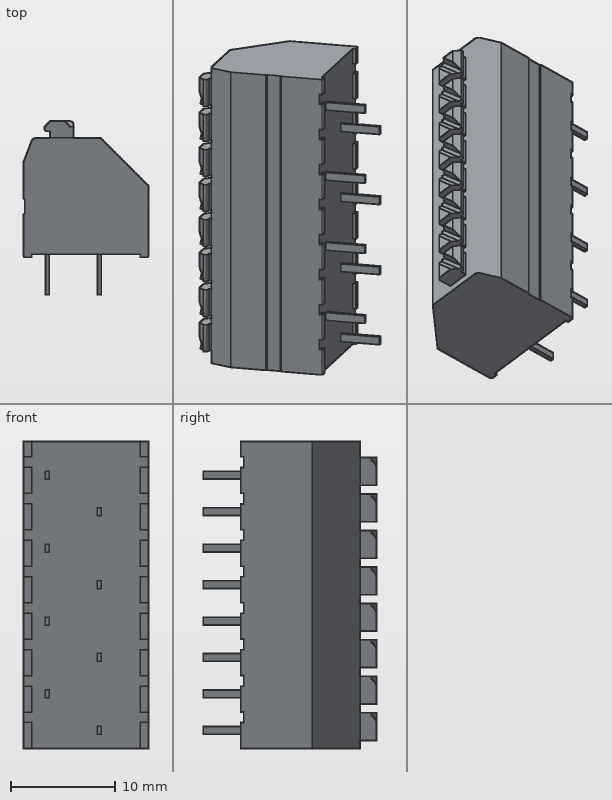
import cadquery as cq
import math

LENGTH = 29.5
WIDTH = 12.0
TOP_Y = 11.48
FLOOR_Y = 0.3
BACK_CHAMFER = 4.6
FRONT_SLOPE_RUN = 0.88
FRONT_SLOPE_DROP = 2.3
FRONT_SLOPE_RADIUS = 0.5
GROOVE_DEPTH = 0.1
GROOVE_TOP_Y = TOP_Y - 5.8
GROOVE_BOTTOM_Y = TOP_Y - 7.35

POLES = 8
END_MODULE = 1.5
PITCH = (LENGTH - END_MODULE) / POLES

FOOT_LENGTH = 2.5
FOOT_WIDTH = 0.8
FOOT_RADIUS = 0.2

PIN_TIP_Y = -3.6
PIN_WIDTH = 0.38
PIN_HEIGHT = 0.77
PIN_ROW_FRONT_X = 2.3
PIN_ROW_SPACING = 5.0
PIN_ROOT_DEPTH = 0.3
PIN_CENTER_Z = PITCH / 2

LEVER_TOP_Y = 13.1
LEVER_FRONT_X = 2.0
LEVER_BACK_X = 4.8
LEVER_NECK_X = 2.55
LEVER_BASE_Z = 0.77
LEVER_HEIGHT = 2.68
LEVER_ROOT_DEPTH = 0.3
HOOK_CHAMFER = 0.55
HOOK_UNDERSIDE_Y = LEVER_TOP_Y - 1.0
HOOK_RADIUS = 0.3
LEVER_BACK_RADIUS = 0.35

SLOT_DEPTH = 0.55
SLOT_FLOOR_WIDTH = 0.38
SLOT_MOUTH_WIDTH = 1.12
SLOT_ANGLE = 45.0


def make_housing():
    outline = [
        (0, FLOOR_Y),
        (WIDTH, FLOOR_Y),
        (WIDTH, TOP_Y - BACK_CHAMFER),
        (WIDTH - BACK_CHAMFER, TOP_Y),
        (FRONT_SLOPE_RUN, TOP_Y),
        (0, TOP_Y - FRONT_SLOPE_DROP),
        (0, GROOVE_TOP_Y),
        (GROOVE_DEPTH, GROOVE_TOP_Y - GROOVE_DEPTH),
        (GROOVE_DEPTH, GROOVE_BOTTOM_Y + GROOVE_DEPTH),
        (0, GROOVE_BOTTOM_Y),
    ]
    housing = cq.Workplane("XY").polyline(outline).close().extrude(LENGTH)
    slope_edge = cq.selectors.NearestToPointSelector((FRONT_SLOPE_RUN, TOP_Y, LENGTH / 2))
    return housing.edges(slope_edge).fillet(FRONT_SLOPE_RADIUS)


def make_foot(x_start, outer_side, base_z, length):
    """Foot with its outer bottom edge rounded; outer_side is '<X' or '>X'."""
    foot = cq.Workplane("XY").box(FOOT_WIDTH, FLOOR_Y, length, centered=False)
    foot = foot.faces(outer_side).edges("<Y").fillet(FOOT_RADIUS)
    return foot.translate((x_start, 0, base_z))


def make_pin(center_x, center_z):
    height = FLOOR_Y + PIN_ROOT_DEPTH - PIN_TIP_Y
    pin = cq.Workplane("XY").box(PIN_WIDTH, height, PIN_HEIGHT)
    return pin.translate((center_x, PIN_TIP_Y + height / 2, center_z))


def make_slot_cutter():
    """Tapered slot centred on the lever, with its mouth at the lever top."""
    reach = LEVER_BACK_X - LEVER_FRONT_X + LEVER_HEIGHT
    section = [
        (-SLOT_FLOOR_WIDTH / 2, -SLOT_DEPTH),
        (SLOT_FLOOR_WIDTH / 2, -SLOT_DEPTH),
        (SLOT_MOUTH_WIDTH / 2, 0),
        (-SLOT_MOUTH_WIDTH / 2, 0),
    ]
    cutter = cq.Workplane("XY").polyline(section).close().extrude(reach, both=True)
    cutter = cutter.rotate((0, 0, 0), (0, 1, 0), SLOT_ANGLE)
    center_x = (LEVER_FRONT_X + LEVER_BACK_X) / 2
    return cutter.translate((center_x, LEVER_TOP_Y, LEVER_HEIGHT / 2))


def make_lever():
    """One hooked lever with its lower end at Z = 0."""
    root_y = TOP_Y - LEVER_ROOT_DEPTH
    arc_offset = 1 - math.sqrt(0.5)
    lever = (
        cq.Workplane("XY")
        .moveTo(LEVER_NECK_X, root_y)
        .lineTo(LEVER_BACK_X, root_y)
        .lineTo(LEVER_BACK_X, LEVER_TOP_Y - LEVER_BACK_RADIUS)
        .threePointArc(
            (LEVER_BACK_X - arc_offset * LEVER_BACK_RADIUS, LEVER_TOP_Y - arc_offset * LEVER_BACK_RADIUS),
            (LEVER_BACK_X - LEVER_BACK_RADIUS, LEVER_TOP_Y),
        )
        .lineTo(LEVER_FRONT_X + HOOK_CHAMFER, LEVER_TOP_Y)
        .lineTo(LEVER_FRONT_X, LEVER_TOP_Y - HOOK_CHAMFER)
        .lineTo(LEVER_FRONT_X, HOOK_UNDERSIDE_Y + HOOK_RADIUS)
        .threePointArc(
            (LEVER_FRONT_X + arc_offset * HOOK_RADIUS, HOOK_UNDERSIDE_Y + arc_offset * HOOK_RADIUS),
            (LEVER_FRONT_X + HOOK_RADIUS, HOOK_UNDERSIDE_Y),
        )
        .lineTo(LEVER_NECK_X, HOOK_UNDERSIDE_Y)
        .close()
        .extrude(LEVER_HEIGHT)
    )
    return lever.cut(make_slot_cutter())


result = make_housing()

for index in range(POLES + 1):
    foot_length = FOOT_LENGTH if index < POLES else END_MODULE
    result = result.union(make_foot(0, "<X", index * PITCH, foot_length))
    result = result.union(make_foot(WIDTH - FOOT_WIDTH, ">X", index * PITCH, foot_length))

lever_shape = make_lever()
for index in range(POLES):
    row_offset = PIN_ROW_SPACING if index % 2 == 0 else 0
    result = result.union(make_pin(PIN_ROW_FRONT_X + row_offset, PIN_CENTER_Z + index * PITCH))
    result = result.union(lever_shape.translate((0, 0, LEVER_BASE_Z + index * PITCH)))